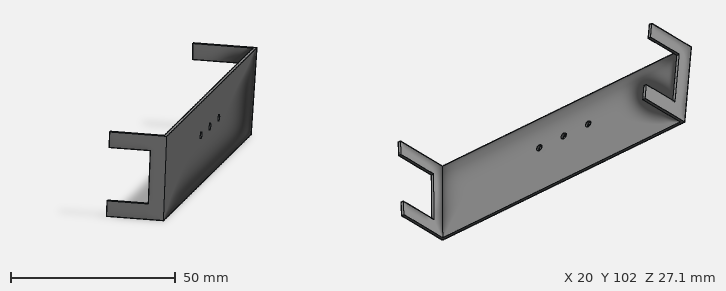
import cadquery as cq
import math

length = 102.0
depth = 20.0
height = 27.1
wall = 1.0
draft = 3.0
frame_width = 5.0
short_end_setback = 2 * wall
short_end_foot = 0.8
hole_diameter = 2.0
hole_spacing = 10.0
hole_drop = 10.9
hole_shift = -0.1

lean = math.tan(math.radians(draft))


def tapered_block(inset):
    """Block narrowing downward, its sides inset from the outer faces; centred on the x = 0 plane."""
    return (
        cq.Workplane("XY")
        .workplane(offset=height)
        .rect(2 * (depth - inset), length - 2 * inset)
        .extrude(-height, taper=draft)
    )


def side_profile(points):
    """Outline in the XZ plane, extruded along Y over the full length."""
    return cq.Workplane("XZ").polyline(points).close().extrude(length / 2, both=True)


def leaning_x(x_at_top, z):
    """X at height z of a line parallel to the leaning back plate."""
    return x_at_top - (height - z) * lean


plus_x_half = cq.Workplane("XY").box(depth, length, height, centered=(False, True, False))
shell = tapered_block(0).cut(tapered_block(wall)).intersect(plus_x_half)

window_bottom = frame_width
window_top = height - frame_width
window_back = depth - frame_width
window = side_profile([
    (-depth, window_bottom),
    (leaning_x(window_back, window_bottom), window_bottom),
    (leaning_x(window_back, window_top), window_top),
    (-depth, window_top),
])

short_end_foot_x = leaning_x(short_end_setback, short_end_foot)
minus_y_half = cq.Workplane("XY").box(2 * depth, length, height, centered=(True, False, False))
minus_y_half = minus_y_half.translate((0, -length, 0))
short_end_trim = side_profile([
    (-depth, 0),
    (short_end_foot_x, 0),
    (short_end_foot_x, short_end_foot),
    (short_end_setback, height),
    (-depth, height),
]).intersect(minus_y_half)

hole_z = height - hole_drop
hole_centres = [(hole_shift + i * hole_spacing, hole_z) for i in (-1, 0, 1)]
holes = cq.Workplane("YZ").pushPoints(hole_centres).circle(hole_diameter / 2).extrude(depth)

result = shell.cut(window).cut(short_end_trim).cut(holes)